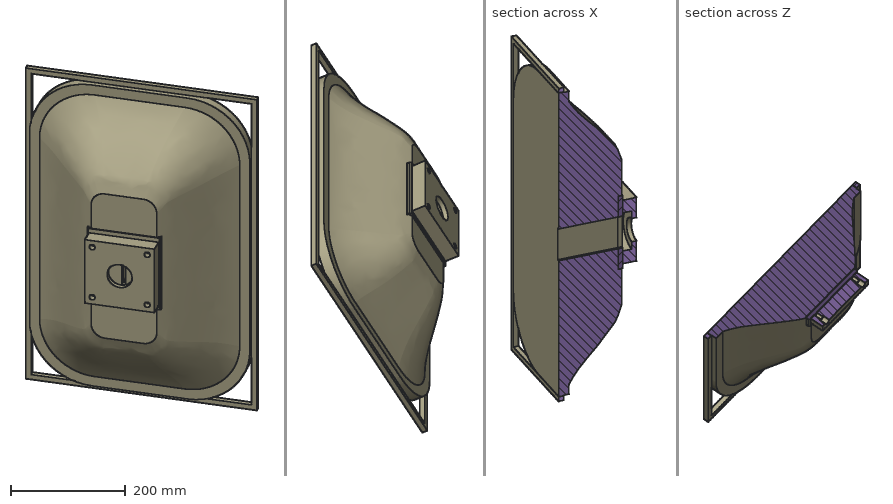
import cadquery as cq

height = 620.0
width = 420.0
depth = 148.0

frame_bar = 10.0
mouth_width = width - 2 * frame_bar
mouth_height = height - 2 * frame_bar

rim_corner = 113.0
rim_front = 2 * frame_bar
throat_face = 120.0
wall_overlap = 2.5
wall_sections = [
    (rim_front - wall_overlap, 190.0, 289.0, 105.5),
    (27.0, 169.0, 268.5, 93.0),
    (49.5, 141.0, 240.5, 77.5),
    (74.5, 115.0, 215.0, 62.0),
    (99.0, 87.5, 186.5, 43.5),
    (111.5, 72.5, 168.5, 34.0),
    (throat_face, 59.5, 144.0, 25.0),
]

plate_width = 134.0
plate_height = 143.0
plate_back = 114.0
plate_front = 122.0
plate_chamfer = 2.5
slot_width = 7.0
slot_height = 62.0

block_size = 126.5
block_depth = depth - plate_front
bore_diameter = 45.0
bore_depth = 9.0
chamber_diameter = 74.5
screw_spacing = 100.0
screw_diameter = 6.0
screw_head_diameter = 10.0
screw_head_depth = 13.0


def plane_at(distance):
    """Sketch plane facing -Y, at the given distance from the frame back."""
    return cq.Workplane("XZ", origin=(0, -distance, 0))


def wall_outline(distance, half_width, half_height, corner):
    """Rounded-rectangle sketch of one horn wall section."""
    sketch = cq.Sketch().rect(2 * half_width, 2 * half_height).vertices().fillet(corner)
    return sketch.moved(cq.Location(cq.Vector(0, 0, distance)))


def slot_cutter():
    """Narrow upright slot running through the whole depth."""
    return plane_at(0).rect(slot_width, slot_height).extrude(depth)


def make_frame():
    bars = plane_at(0).rect(width, height).rect(mouth_width, mouth_height)
    return bars.extrude(frame_bar)


def plate_blank():
    """Throat plate without its slot, its two upright front edges chamfered."""
    blank = plane_at(plate_back).rect(plate_width, plate_height).extrude(plate_front - plate_back)
    return blank.faces("<Y").edges("|Z").chamfer(plate_chamfer)


def make_throat_plate():
    return plate_blank().cut(slot_cutter())


def make_horn():
    rim = plane_at(0).rect(mouth_width, mouth_height).extrude(rim_front)
    rim = rim.edges("|Y").fillet(rim_corner)
    outlines = [wall_outline(*section) for section in wall_sections]
    wall = plane_at(0).placeSketch(*outlines).loft()
    return rim.union(wall).cut(plate_blank()).cut(slot_cutter())


def make_driver_block():
    block = plane_at(plate_front).rect(block_size, block_size).extrude(block_depth)
    chamber = plane_at(plate_front).circle(chamber_diameter / 2).extrude(block_depth - bore_depth)
    front_face = block.cut(chamber).faces("<Y").workplane(centerOption="CenterOfBoundBox")
    bored = front_face.hole(bore_diameter, bore_depth)
    return (
        bored.faces("<Y")
        .workplane(centerOption="CenterOfBoundBox")
        .rect(screw_spacing, screw_spacing, forConstruction=True)
        .vertices()
        .cboreHole(screw_diameter, screw_head_diameter, screw_head_depth)
    )


frame = make_frame()
horn = make_horn()
throat_plate = make_throat_plate()
driver_block = make_driver_block()

result = cq.Compound.makeCompound(
    [frame.val(), horn.val(), throat_plate.val(), driver_block.val()]
)